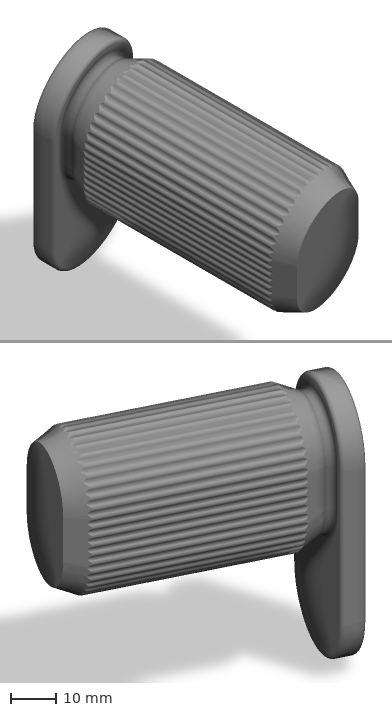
import cadquery as cq
import math

PLATE_HEIGHT = 70.0
PLATE_WIDTH = 30.0
PLATE_THICKNESS = 6.0
PLATE_EDGE_FILLET = 1.0

NECK_RADIUS = 11.4
NECK_END_X = 8.5
NECK_ROOT_FILLET = 0.8

GRIP_END_X = 70.0
GRIP_RADIUS = 14.3
GRIP_CENTRE_SPACING = 11.55
TAPER_LENGTH = 5.7

FLUTES_PER_FLAT = 5
FLUTES_PER_ARC = 18
FLUTE_WIDTH = 1.05
FLUTE_EDGE_DEPTH = 0.25
FLUTE_DEPTH = 0.45

TOP_ARC_CENTRE_Z = (PLATE_HEIGHT - PLATE_WIDTH) / 2
GRIP_CENTRE_Z = TOP_ARC_CENTRE_Z - GRIP_CENTRE_SPACING / 2
GRIP_LENGTH = GRIP_END_X - NECK_END_X


def plane_across_x(x, z):
    """Plane facing +X whose local axes run along Y and Z, centred at height z."""
    return cq.Workplane("YZ", origin=(x, 0, z))


def obround(plane, centre_spacing, radius):
    """Upright obround outline given by the spacing of its arc centres and its radius."""
    return plane.slot2D(centre_spacing + 2 * radius, 2 * radius, 90)


def make_plate():
    """Rounded base plate with the neck standing on its inner face."""
    plate_radius = PLATE_WIDTH / 2
    plate = obround(plane_across_x(0, 0), PLATE_HEIGHT - PLATE_WIDTH, plate_radius).extrude(PLATE_THICKNESS)
    plate = plate.faces("<X or >X").edges().fillet(PLATE_EDGE_FILLET)

    neck_plane = plane_across_x(PLATE_THICKNESS, GRIP_CENTRE_Z)
    neck_length = NECK_END_X - PLATE_THICKNESS
    neck = obround(neck_plane, GRIP_CENTRE_SPACING, NECK_RADIUS).extrude(neck_length)

    plate = plate.union(neck)
    margin = NECK_ROOT_FILLET / 2
    half_width = NECK_RADIUS + margin
    half_height = GRIP_CENTRE_SPACING / 2 + half_width
    root_box = cq.selectors.BoxSelector(
        (PLATE_THICKNESS - margin, -half_width, GRIP_CENTRE_Z - half_height),
        (PLATE_THICKNESS + margin, half_width, GRIP_CENTRE_Z + half_height),
        boundingbox=True,
    )
    return plate.edges(root_box).fillet(NECK_ROOT_FILLET)


def point_on_grip(step, depth):
    """Point on the grip outline, at a depth below the crests.

    One step is one flute pitch, counted counter-clockwise from the lower end of the +Y flat.
    """
    half_turn = FLUTES_PER_FLAT + FLUTES_PER_ARC
    side = 1 if step < half_turn else -1
    local_step = step % half_turn
    radius = GRIP_RADIUS - depth
    half_spacing = GRIP_CENTRE_SPACING / 2
    if local_step <= FLUTES_PER_FLAT:
        y = radius
        z = GRIP_CENTRE_SPACING * local_step / FLUTES_PER_FLAT - half_spacing
    else:
        angle = math.pi * (local_step - FLUTES_PER_FLAT) / FLUTES_PER_ARC
        y = radius * math.cos(angle)
        z = half_spacing + radius * math.sin(angle)
    return (side * y, side * z)


def fluted_bar():
    """Bar of the full grip length whose outline alternates flutes and crests."""
    flute_count = 2 * (FLUTES_PER_FLAT + FLUTES_PER_ARC)
    flat_pitch = GRIP_CENTRE_SPACING / FLUTES_PER_FLAT
    half_flute = FLUTE_WIDTH / flat_pitch / 2

    outline = plane_across_x(NECK_END_X, GRIP_CENTRE_Z)
    outline = outline.moveTo(*point_on_grip(0.5 - half_flute, FLUTE_EDGE_DEPTH))
    for flute in range(flute_count):
        middle = flute + 0.5
        next_crest = (flute + 1) % flute_count
        flute_end = point_on_grip(middle + half_flute, FLUTE_EDGE_DEPTH)
        next_flute_start = point_on_grip(next_crest + 0.5 - half_flute, FLUTE_EDGE_DEPTH)
        outline = outline.threePointArc(point_on_grip(middle, FLUTE_DEPTH), flute_end)
        outline = outline.threePointArc(point_on_grip(next_crest, 0), next_flute_start)
    return outline.close().extrude(GRIP_LENGTH)


def tapered_half(x, direction):
    """Obround taper from the neck size at x to the middle of the grip, along +X or -X.

    It keeps its slope past the crests, so it trims the bar only near its end.
    """
    half_length = GRIP_LENGTH / 2
    slope = (GRIP_RADIUS - NECK_RADIUS) / TAPER_LENGTH
    taper = obround(plane_across_x(x, GRIP_CENTRE_Z), GRIP_CENTRE_SPACING, NECK_RADIUS)
    taper = taper.workplane(offset=direction * half_length)
    return obround(taper, GRIP_CENTRE_SPACING, NECK_RADIUS + slope * half_length).loft(ruled=True)


def make_grip():
    """Fluted bar trimmed to a plain taper at each end."""
    envelope = tapered_half(NECK_END_X, 1).union(tapered_half(GRIP_END_X, -1))
    return fluted_bar().intersect(envelope)


plate = make_plate()
grip = make_grip()

result = cq.Compound.makeCompound([plate.val(), grip.val()])